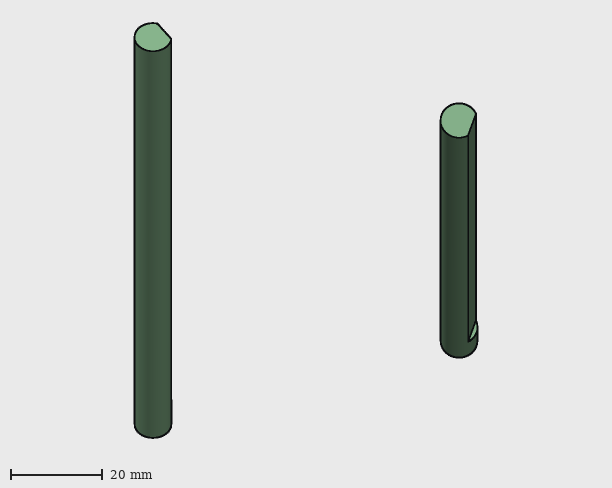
import cadquery as cq

length = 130.0
diameter = 8.0
flat_depth = 1.0
round_end_length = 8.0

radius = diameter / 2
flat_length = length - round_end_length

shaft = cq.Workplane("XY").circle(radius).extrude(length)

flat_cutter = (
    cq.Workplane("XY")
    .box(diameter, flat_depth, flat_length, centered=(True, False, False))
    .translate((0, radius - flat_depth, round_end_length))
)

result = shaft.cut(flat_cutter)